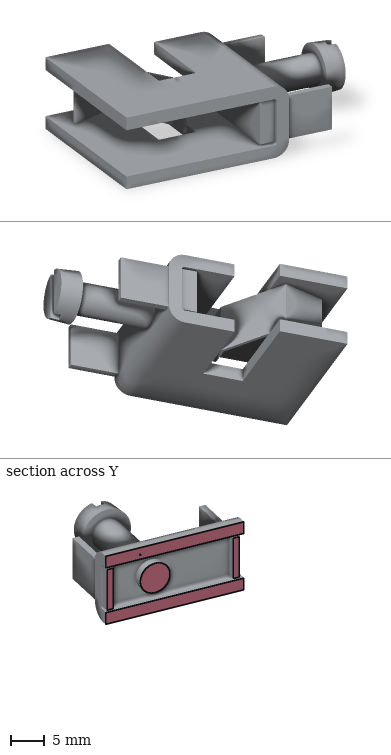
import cadquery as cq
import math

body_width = 25.5
body_depth = 27.15
body_height = 11.5
body_wall = 2.05
bend_radius = 2.5
inner_bend_radius = bend_radius - body_wall
inner_height = body_height - 2 * body_wall

mouth_front = 10.65
mouth_back = 16.85
mouth_end = 15.6
rear_setback = 2.5

bracket_left = 2.7
bracket_right = 24.75
bracket_front = 22.65
bracket_back = 34.65
bracket_sheet = 1.05
bracket_height = 6.85

total_depth = 42.4
screw_x = 10.73
shank_diameter = 5.0
head_length = 3.3
head_base_diameter = 8.0
head_top_diameter = 7.55
driver_slot_width = 1.5
driver_slot_depth = 1.3

spring_sheet = 0.5
spring_path = [(4.32, 2.4), (1.95, 8.95), (11.6, 15.55), (15.05, 15.55)]


def box(x_min, x_max, y_min, y_max, height):
    """Box between X and Y limits, centred on the mid-plane Z = 0."""
    base = cq.Workplane("XY").box(x_max - x_min, y_max - y_min, height, centered=(False, False, True))
    return base.translate((x_min, y_min, 0))


def make_body():
    outside = box(0, body_width, 0, body_depth, body_height)
    outside = outside.edges("|X and >Y").fillet(bend_radius)
    inside = box(0, body_width, 0, body_depth - body_wall, inner_height)
    inside = inside.edges("|X and >Y").fillet(inner_bend_radius)
    mouth = box(0, mouth_end, mouth_front, mouth_back, body_height)
    setback = box(0, rear_setback, mouth_back, body_depth, body_height)
    return outside.cut(inside).cut(mouth).cut(setback)


def make_bracket():
    outside = box(bracket_left, bracket_right, bracket_front, bracket_back, bracket_height)
    inside = box(
        bracket_left + bracket_sheet,
        bracket_right - bracket_sheet,
        bracket_front + bracket_sheet,
        bracket_back,
        bracket_height,
    )
    return outside.cut(inside)


def make_screw():
    tip_y = bracket_front + bracket_sheet
    head_y = total_depth - head_length
    profile = [
        (screw_x, tip_y),
        (screw_x + shank_diameter / 2, tip_y),
        (screw_x + shank_diameter / 2, head_y),
        (screw_x + head_base_diameter / 2, head_y),
        (screw_x + head_top_diameter / 2, total_depth),
        (screw_x, total_depth),
    ]
    screw = cq.Workplane("XY").polyline(profile).close()
    screw = screw.revolve(360, (screw_x, 0), (screw_x, 1))
    driver_slot = box(
        screw_x - driver_slot_width / 2,
        screw_x + driver_slot_width / 2,
        total_depth - driver_slot_depth,
        total_depth,
        head_base_diameter,
    )
    return screw.cut(driver_slot)


def inner_sheet_points(points, thickness):
    """Shift a bent line to its right by the thickness, with mitred corners."""
    headings = []
    for (x0, y0), (x1, y1) in zip(points, points[1:]):
        headings.append(math.atan2(y1 - y0, x1 - x0))
    before = headings[:1] + headings
    after = headings + headings[-1:]
    shifted = []
    for (x, y), arriving, leaving in zip(points, before, after):
        middle = (arriving + leaving) / 2
        reach = thickness / math.cos((leaving - arriving) / 2)
        shifted.append((x + reach * math.sin(middle), y - reach * math.cos(middle)))
    return shifted


def make_spring():
    inner_path = inner_sheet_points(spring_path, spring_sheet)
    outline = spring_path + inner_path[::-1]
    return cq.Workplane("XY").polyline(outline).close().extrude(inner_height / 2, both=True)


result = make_body().union(make_bracket()).union(make_screw()).union(make_spring())